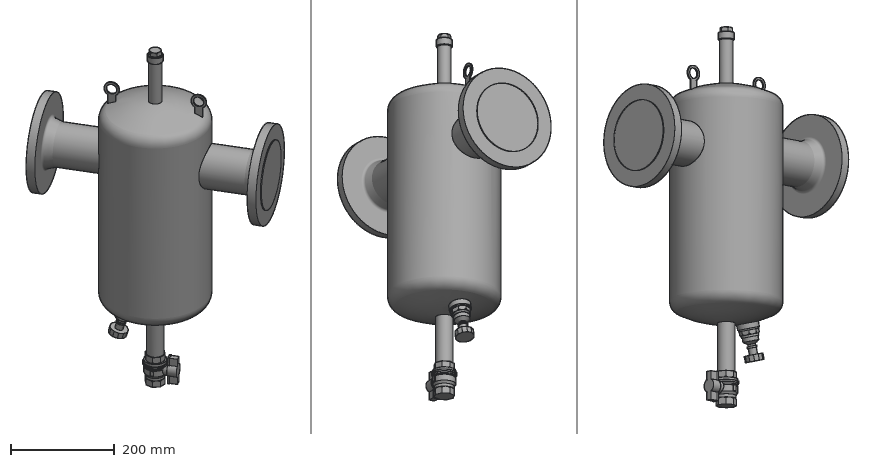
import cadquery as cq
import math


SHELL_D = 219.0
SHELL_R = SHELL_D / 2
CROWN_R = SHELL_D
KNUCKLE_R = 24.5
TOP_TANGENT_Z = 85.5
BOTTOM_TANGENT_Z = -295.0

FACE_TO_FACE = 466.0
FACE_X = FACE_TO_FACE / 2
RAISED_FACE_R = 69.0
RAISED_FACE_H = 2.0
FLANGE_D = 200.0
FLANGE_R = FLANGE_D / 2
FLANGE_T = 20.0
HUB_BASE_R = 51.0
HUB_FILLET_R = 6.0
HUB_END_X = 192.5
NOZZLE_R = 44.5

VENT_R = 13.5
COUPLING_R = 15.5
COUPLING_BOTTOM_Z = 218.0
COUPLING_H = 15.5
COUPLING_CHAMFER = 1.5
PLUG_SIDES = 6
PLUG_CORNER_D = 26.0
PLUG_H = 9.0

EYE_SPACING = 174.5
EYE_Z = 141.0
EYE_D = 30.5
EYE_HOLE_R = 10.5
EYE_SHANK_W = 15.5
EYE_T = 3.0

DRAIN_R = 17.0
DRAIN_END_Z = -435.0
VALVE_NUT_SIDES = 8
VALVE_NUT_CORNER_R = 20.0
VALVE_BODY_R = 22.0
VALVE_NECK_R = 19.0
VALVE_BODY_TOP = 13.5
VALVE_BODY_BOTTOM = 41.0
VALVE_NECK_TOP = 46.0
VALVE_NUT_TOP = 52.0
VALVE_LENGTH = 66.0
VALVE_RING_R = 24.5
VALVE_RING_TOP = 18.5
VALVE_RING_H = 4.0
VALVE_GROOVE_R = 21.0
VALVE_GROOVE_TOP = 25.0
VALVE_GROOVE_H = 3.0
VALVE_TAB_TOP = 28.0
VALVE_TAB_H = 11.0
VALVE_TAB_W = 7.0

HANDLE_DEPTH = 32.0
HANDLE_INNER_X = 27.0
HANDLE_OUTER_X = 46.0
HANDLE_LENGTH = 56.5
HANDLE_W = 12.0
HANDLE_HUB_R = 13.5
HANDLE_BASE_T = 4.0
HANDLE_RIM = 1.0
STEM_R = 13.0

COCK_TILT = 15.0
SOCKET_R = 21.5
SOCKET_H = 10.0
COCK_WASHER_R = 20.0
COCK_NUT_BOTTOM = 13.0
COCK_NUT_SIDES = 8
COCK_NUT_CORNER_R = 19.0
COCK_NUT_TOP = 21.5
COCK_SHOULDER_R = 17.0
COCK_SHOULDER_TOP = 26.0
COCK_BODY_R = 15.5
COCK_BODY_TOP = 34.0
COCK_TAPER_TOP = 40.0
COCK_COLLAR_R = 10.0
COCK_COLLAR_BOTTOM = 44.0
COCK_COLLAR_TOP = 47.5
COCK_NECK_R = 7.5
COCK_STEM_R = 8.0
KNOB_CORNER_R = 18.5
KNOB_BOTTOM = 61.0
KNOB_TOP = 73.5
KNOB_SIDES = 12

CHAMFER_SLOPE = 1.5

KNUCKLE_CENTRE_R = SHELL_R - KNUCKLE_R
CROWN_ANGLE = math.asin(KNUCKLE_CENTRE_R / (CROWN_R - KNUCKLE_R))
CROWN_CENTRE_DROP = (CROWN_R - KNUCKLE_R) * math.cos(CROWN_ANGLE)
END_H = CROWN_R - CROWN_CENTRE_DROP
TOP_APEX_Z = TOP_TANGENT_Z + END_H
BOTTOM_CROWN_CENTRE_Z = BOTTOM_TANGENT_Z + CROWN_CENTRE_DROP


def cylinder(radius, z_start, z_end):
    return cq.Workplane("XY").workplane(offset=z_start).circle(radius).extrude(z_end - z_start)


def chamfered_prism(sides, corner_radius, z_plain, z_chamfered):
    """Regular prism with a corner on +X, its corners turned off at one end as on a nut."""
    flat_radius = corner_radius * math.cos(math.pi / sides)
    height = z_chamfered - z_plain
    drop = math.copysign((corner_radius - flat_radius) * CHAMFER_SLOPE, height)
    prism = (
        cq.Workplane("XY").workplane(offset=z_plain)
        .polygon(sides, 2 * corner_radius).extrude(height)
    )
    turned_blank = (
        cq.Workplane("XZ")
        .moveTo(0, z_plain)
        .lineTo(corner_radius, z_plain)
        .lineTo(corner_radius, z_chamfered - drop)
        .lineTo(flat_radius, z_chamfered)
        .lineTo(0, z_chamfered)
        .close()
        .revolve(360, (0, 0, 0), (0, 1, 0))
    )
    return prism.intersect(turned_blank)


def end_point(radius, angle, centre_r, centre_h):
    """Point on an arc, its angle measured from the vessel axis."""
    return centre_r + radius * math.sin(angle), centre_h + radius * math.cos(angle)


def make_shell():
    mid_knuckle_angle = (CROWN_ANGLE + math.pi / 2) / 2
    crown_edge = end_point(KNUCKLE_R, CROWN_ANGLE, KNUCKLE_CENTRE_R, 0)
    knuckle_mid = end_point(KNUCKLE_R, mid_knuckle_angle, KNUCKLE_CENTRE_R, 0)
    crown_mid = end_point(CROWN_R, CROWN_ANGLE / 2, 0, -CROWN_CENTRE_DROP)

    def upper(point):
        return point[0], TOP_TANGENT_Z + point[1]

    def lower(point):
        return point[0], BOTTOM_TANGENT_Z - point[1]

    return (
        cq.Workplane("XZ")
        .moveTo(0, TOP_APEX_Z)
        .threePointArc(upper(crown_mid), upper(crown_edge))
        .threePointArc(upper(knuckle_mid), (SHELL_R, TOP_TANGENT_Z))
        .lineTo(SHELL_R, BOTTOM_TANGENT_Z)
        .threePointArc(lower(knuckle_mid), lower(crown_edge))
        .threePointArc(lower(crown_mid), (0, BOTTOM_TANGENT_Z - END_H))
        .close()
        .revolve(360, (0, 0, 0), (0, 1, 0))
    )


def make_nozzle(side):
    """Pipe, weld-neck hub and flange on the +X (side 1) or -X (side -1) of the vessel."""
    flange_back_x = FACE_X - FLANGE_T
    raised_face_x = FACE_X - RAISED_FACE_H
    hub_angle = math.atan2(HUB_BASE_R - NOZZLE_R, flange_back_x - HUB_END_X)
    tangent_length = HUB_FILLET_R * math.tan(math.pi / 4 - hub_angle / 2)
    fillet_start = (
        flange_back_x - tangent_length * math.cos(hub_angle),
        HUB_BASE_R - tangent_length * math.sin(hub_angle),
    )
    nozzle = (
        cq.Workplane("XY")
        .lineTo(0, NOZZLE_R)
        .lineTo(HUB_END_X, NOZZLE_R)
        .lineTo(*fillet_start)
        .tangentArcPoint((flange_back_x, HUB_BASE_R + tangent_length), relative=False)
        .lineTo(flange_back_x, FLANGE_R)
        .lineTo(raised_face_x, FLANGE_R)
        .lineTo(raised_face_x, RAISED_FACE_R)
        .lineTo(FACE_X, RAISED_FACE_R)
        .lineTo(FACE_X, 0)
        .close()
        .revolve(360, (0, 0, 0), (1, 0, 0))
    )
    return nozzle if side > 0 else nozzle.mirror("YZ")


def make_vent():
    coupling_top_z = COUPLING_BOTTOM_Z + COUPLING_H
    pipe = cylinder(VENT_R, 0, COUPLING_BOTTOM_Z)
    coupling = cylinder(COUPLING_R, COUPLING_BOTTOM_Z, coupling_top_z).edges().chamfer(COUPLING_CHAMFER)
    plug = chamfered_prism(PLUG_SIDES, PLUG_CORNER_D / 2, coupling_top_z, coupling_top_z + PLUG_H)
    return pipe.union(coupling).union(plug)


def make_lifting_eye(side):
    shank_h = EYE_Z - TOP_TANGENT_Z
    plate = cq.Workplane("XZ").center(side * EYE_SPACING / 2, EYE_Z)
    shank = plate.center(0, -shank_h / 2).rect(EYE_SHANK_W, shank_h).extrude(EYE_T / 2, both=True)
    ring = plate.circle(EYE_D / 2).extrude(EYE_T / 2, both=True)
    hole = plate.circle(EYE_HOLE_R).extrude(EYE_T, both=True)
    return ring.union(shank).cut(hole)


def place_on_cock_axis(shape):
    """Move a shape built up from the origin along +Z onto the tilted axis, starting at the crown."""
    return (
        shape.translate((0, 0, CROWN_R))
        .rotate((0, 0, 0), (0, 1, 0), 180 + COCK_TILT)
        .translate((0, 0, BOTTOM_CROWN_CENTRE_Z))
    )


def make_vessel():
    vessel = make_shell().union(make_vent())
    for side in (-1, 1):
        vessel = vessel.union(make_nozzle(side)).union(make_lifting_eye(side))
    drain_pipe = cylinder(DRAIN_R, DRAIN_END_Z, BOTTOM_TANGENT_Z)
    socket = place_on_cock_axis(cylinder(SOCKET_R, -SOCKET_H, SOCKET_H))
    return vessel.union(drain_pipe).union(socket)


def make_ball_valve():
    """Valve with its top face on z = 0, then hung from the end of the drain pipe."""
    body = (
        cq.Workplane("XZ")
        .moveTo(0, -VALVE_BODY_TOP)
        .lineTo(VALVE_BODY_R, -VALVE_BODY_TOP)
        .lineTo(VALVE_BODY_R, -VALVE_GROOVE_TOP)
        .lineTo(VALVE_GROOVE_R, -VALVE_GROOVE_TOP)
        .lineTo(VALVE_GROOVE_R, -VALVE_GROOVE_TOP - VALVE_GROOVE_H)
        .lineTo(VALVE_BODY_R, -VALVE_GROOVE_TOP - VALVE_GROOVE_H)
        .lineTo(VALVE_BODY_R, -VALVE_BODY_BOTTOM)
        .lineTo(VALVE_NECK_R, -VALVE_NECK_TOP)
        .lineTo(VALVE_NECK_R, -VALVE_NUT_TOP)
        .lineTo(0, -VALVE_NUT_TOP)
        .close()
        .revolve(360, (0, 0, 0), (0, 1, 0))
    )
    upper_nut = chamfered_prism(VALVE_NUT_SIDES, VALVE_NUT_CORNER_R, 0, -VALVE_BODY_TOP)
    lower_nut = chamfered_prism(VALVE_NUT_SIDES, VALVE_NUT_CORNER_R, -VALVE_LENGTH, -VALVE_NUT_TOP)
    ring = cylinder(VALVE_RING_R, -VALVE_RING_TOP - VALVE_RING_H, -VALVE_RING_TOP)
    tabs = (
        cq.Workplane("XY")
        .box(VALVE_TAB_W, 2 * VALVE_RING_R, VALVE_TAB_H)
        .translate((0, 0, -VALVE_TAB_TOP - VALVE_TAB_H / 2))
    )
    handle_plane = cq.Workplane("YZ").center(0, -HANDLE_DEPTH)
    stem = handle_plane.circle(STEM_R).extrude(HANDLE_INNER_X)
    handle_face = handle_plane.workplane(offset=HANDLE_INNER_X)
    handle_t = HANDLE_OUTER_X - HANDLE_INNER_X
    wings = handle_face.rect(HANDLE_W, HANDLE_LENGTH).extrude(handle_t)
    wing_base = (
        handle_face
        .rect(HANDLE_W + 2 * HANDLE_RIM, HANDLE_LENGTH + 2 * HANDLE_RIM)
        .extrude(HANDLE_BASE_T)
    )
    handle_hub = handle_face.circle(HANDLE_HUB_R).extrude(handle_t)
    valve = body
    for piece in (upper_nut, lower_nut, ring, tabs, stem, wings, wing_base, handle_hub):
        valve = valve.union(piece)
    return valve.translate((0, 0, DRAIN_END_Z))


def make_cock():
    """Cock seated on the end of the angled socket."""
    spindle = (
        cq.Workplane("XZ")
        .moveTo(0, COCK_NUT_TOP)
        .lineTo(COCK_SHOULDER_R, COCK_NUT_TOP)
        .lineTo(COCK_SHOULDER_R, COCK_SHOULDER_TOP)
        .lineTo(COCK_BODY_R, COCK_SHOULDER_TOP)
        .lineTo(COCK_BODY_R, COCK_BODY_TOP)
        .lineTo(COCK_NECK_R, COCK_TAPER_TOP)
        .lineTo(COCK_NECK_R, COCK_COLLAR_BOTTOM)
        .lineTo(COCK_COLLAR_R, COCK_COLLAR_BOTTOM)
        .lineTo(COCK_COLLAR_R, COCK_COLLAR_TOP)
        .lineTo(COCK_STEM_R, COCK_COLLAR_TOP)
        .lineTo(COCK_STEM_R, KNOB_BOTTOM)
        .lineTo(0, KNOB_BOTTOM)
        .close()
        .revolve(360, (0, 0, 0), (0, 1, 0))
    )
    washer = cylinder(COCK_WASHER_R, SOCKET_H, COCK_NUT_BOTTOM)
    nut = chamfered_prism(COCK_NUT_SIDES, COCK_NUT_CORNER_R, COCK_NUT_BOTTOM, COCK_NUT_TOP)
    knob = chamfered_prism(KNOB_SIDES, KNOB_CORNER_R, KNOB_BOTTOM, KNOB_TOP)
    half_facet = 180 / KNOB_SIDES
    knob = knob.rotate((0, 0, 0), (0, 0, 1), half_facet)
    return place_on_cock_axis(spindle.union(washer).union(nut).union(knob))


vessel = make_vessel()
ball_valve = make_ball_valve()
cock = make_cock()

result = cq.Compound.makeCompound([vessel.val(), ball_valve.val(), cock.val()])